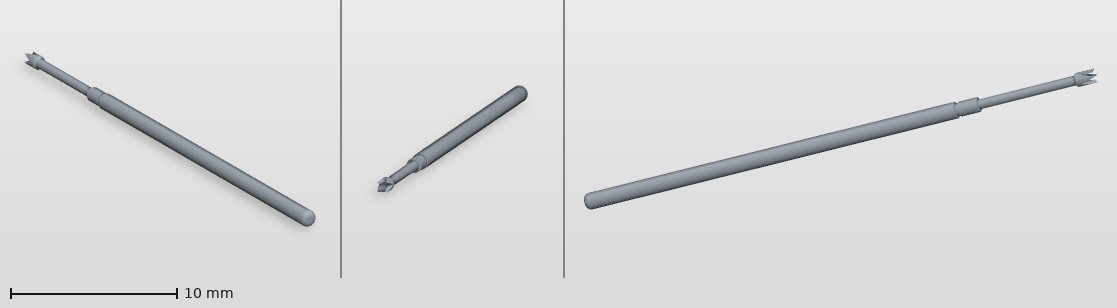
import cadquery as cq
import math

TOTAL_LENGTH = 33.02

BARREL_DIAMETER = 1.02
COLLAR_DIAMETER = 0.91
NECK_DIAMETER = 0.80
HEAD_DIAMETER = 0.85
STEM_DIAMETER = 0.60
BORE_DIAMETER = 0.46

HEAD_END = 1.23
COLLAR_START = 7.57
BARREL_START = 9.02
NECK_LENGTH = 0.24
NECK_START = BARREL_START - NECK_LENGTH

HEAD_TAPER_LENGTH = (HEAD_DIAMETER - STEM_DIAMETER) / 2
STEM_START = HEAD_END + HEAD_TAPER_LENGTH

END_RADIUS = 0.31

CROWN_CENTRE_DEPTH = 0.30
CROWN_VALLEY_DEPTH = 1.00
CROWN_POINTS = 4

BORE_DEPTH = 0.70
DRILL_POINT_ANGLE = 118.0


def turned_body():
    """Revolve the half profile of the pin about the X axis."""
    head_radius = HEAD_DIAMETER / 2
    stem_radius = STEM_DIAMETER / 2
    collar_radius = COLLAR_DIAMETER / 2
    neck_radius = NECK_DIAMETER / 2
    barrel_radius = BARREL_DIAMETER / 2
    round_start = TOTAL_LENGTH - END_RADIUS
    round_centre_radius = barrel_radius - END_RADIUS
    round_mid_offset = END_RADIUS * math.sqrt(0.5)
    profile = (
        cq.Workplane("XY")
        .moveTo(0, 0)
        .lineTo(0, head_radius)
        .lineTo(HEAD_END, head_radius)
        .lineTo(STEM_START, stem_radius)
        .lineTo(COLLAR_START, stem_radius)
        .lineTo(COLLAR_START, collar_radius)
        .lineTo(NECK_START, collar_radius)
        .lineTo(NECK_START, neck_radius)
        .lineTo(BARREL_START, neck_radius)
        .lineTo(BARREL_START, barrel_radius)
        .lineTo(round_start, barrel_radius)
        .threePointArc(
            (round_start + round_mid_offset, round_centre_radius + round_mid_offset),
            (TOTAL_LENGTH, round_centre_radius),
        )
        .lineTo(TOTAL_LENGTH, 0)
        .close()
    )
    return profile.revolve(360, (0, 0, 0), (1, 0, 0))


def crown_groove():
    """V-groove whose floor starts on the axis and slopes back to the head surface on the +Z side.

    Its flanks meet those of the neighbouring grooves in ridges that run inward from the tips.
    """
    head_radius = HEAD_DIAMETER / 2
    tip_offset = head_radius * math.sqrt(0.5)
    floor_slope = (CROWN_VALLEY_DEPTH - CROWN_CENTRE_DEPTH) / head_radius
    ridge_slope = CROWN_CENTRE_DEPTH / tip_offset
    floor_angle = math.atan(floor_slope)
    flank_slope = (floor_slope + ridge_slope) * math.cos(floor_angle)
    groove_height = 2 * CROWN_VALLEY_DEPTH
    half_length = groove_height
    half_width = groove_height / flank_slope
    return (
        cq.Workplane("XY")
        .polyline([(0, 0), (-groove_height, half_width), (-groove_height, -half_width)])
        .close()
        .extrude(half_length, both=True)
        .rotate((0, 0, 0), (0, 1, 0), math.degrees(floor_angle))
        .translate((CROWN_CENTRE_DEPTH, 0, 0))
    )


def cut_crown(body):
    """Cut the grooves that leave the sharp crown points between them."""
    for index in range(CROWN_POINTS):
        groove = crown_groove().rotate((0, 0, 0), (1, 0, 0), 360 / CROWN_POINTS * index)
        body = body.cut(groove)
    return body


def crown_bore():
    """Drilled blind hole on the axis of the crown."""
    bore_radius = BORE_DIAMETER / 2
    point_length = bore_radius / math.tan(math.radians(DRILL_POINT_ANGLE / 2))
    return (
        cq.Workplane("XY")
        .polyline([(0, 0), (0, bore_radius), (BORE_DEPTH, bore_radius), (BORE_DEPTH + point_length, 0)])
        .close()
        .revolve(360, (0, 0, 0), (1, 0, 0))
    )


result = cut_crown(turned_body()).cut(crown_bore())